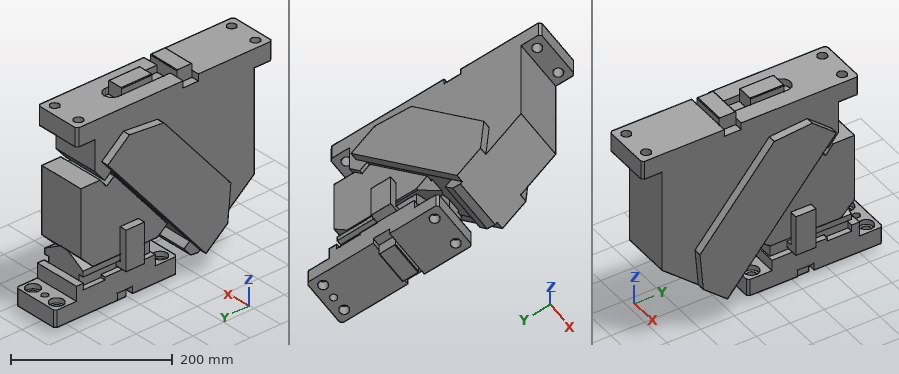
import cadquery as cq
import math


body_width = 74.0
overall_width = 97.0
plate_corner_chamfer = 3.2
hole_diameter = 13.5
hole_spacing = 45.0
hole_inset = 15.3

key_width = 25.0
key_length = 50.0
key_stand_out = 10.0
key_depth = 10.5
key_chamfer = 1.0

driver_length = 200.0
driver_plate_height = 25.3
counterbore_diameter = 20.5
counterbore_depth = 7.5
dowel_hole_diameter = 10.0
driver_key_y = -14.2
step_back_y = 65.0
step_front_y = -64.0
step_height = 41.5
stop_height = 47.0
recess_height = 37.5
recess_front_y = 18.0
neck_width = 57.5
neck_back_y = 53.8
neck_front_y = -62.0
flange_width = 72.5
flange_bottom = 55.5
flange_front_y = -30.3
roof_edge_height = 64.0
roof_angle = 30.0
roof_ridge_height = roof_edge_height + flange_width / 2 * math.tan(math.radians(roof_angle))

incline = 50.0
incline_cos = math.cos(math.radians(incline))
incline_sin = math.sin(math.radians(incline))
guide_y = 24.0
guide_z = 211.0
contact_v = -0.5

slide_back_y = 58.0
slide_top = 185.5
slide_bottom = 65.0
slide_chamfer = 20.0
slide_start_u = 35.2
slide_end_u = 170.5
notch_v = -18.5
slide_pad_width = 57.0
slide_pad_height = 2.0

hook_back_y = -6.5
hook_length = 30.0
hook_top = 105.0
hook_bottom = 45.0
hook_toe_height = 9.5

holder_top = 275.2
holder_plate_length = 320.5
holder_plate_back_y = 64.5
holder_plate_thickness = 27.8
holder_back_y = 34.5
holder_front_y = -226.5
holder_end_u = 250.5
upper_lip_v = -15.0
upper_lip_end_u = 25.5
lower_lip_v = -12.5
lower_lip_start_u = 224.5
lower_lip_chamfer = 8.5
side_plate_height = 86.5
side_plate_chamfer = 40.0
cross_key_y = -122.0
long_key_back_y = -30.3
slot_back_y = -12.8


def box(width, y_front, y_back, z_low, z_high):
    """Box centred on X, between two Y and two Z positions."""
    return (
        cq.Workplane("XY")
        .box(width, y_back - y_front, z_high - z_low, centered=(True, False, False))
        .translate((0, y_front, z_low))
    )


def side_profile(points, width):
    """Closed outline of (Y, Z) points extruded evenly about X = 0."""
    return cq.Workplane("YZ").polyline(points).close().extrude(width / 2, both=True)


def guide_point(u, v):
    """(Y, Z) of a point given along and out of the incline."""
    y = guide_y - u * incline_cos - v * incline_sin
    z = guide_z - u * incline_sin + v * incline_cos
    return (y, z)


def guide_point_at_y(v, y):
    """Point at a given Y on the line parallel to the incline at v."""
    u = (guide_y - y - v * incline_sin) / incline_cos
    return guide_point(u, v)


def guide_point_at_z(v, z):
    """Point at a given Z on the line parallel to the incline at v."""
    u = (guide_z - z + v * incline_cos) / incline_sin
    return guide_point(u, v)


def end_point_at_y(u, y):
    """Point at a given Y on the line square to the incline at u."""
    v = (guide_y - y - u * incline_cos) / incline_sin
    return guide_point(u, v)


def end_point_at_z(u, z):
    """Point at a given Z on the line square to the incline at u."""
    v = (z - guide_z + u * incline_sin) / incline_cos
    return guide_point(u, v)


def mounting_plate(y_front, length, z_low, z_high):
    plate = box(body_width, y_front, y_front + length, z_low, z_high)
    return plate.edges("|Z").chamfer(plate_corner_chamfer)


def hole_centres(y_front, length):
    half_spacing = hole_spacing / 2
    return [
        (x, y)
        for x in (-half_spacing, half_spacing)
        for y in (y_front + hole_inset, y_front + length - hole_inset)
    ]


def round_cuts(centres, diameter, z_low, z_high):
    return (
        cq.Workplane("XY", origin=(0, 0, z_low))
        .pushPoints(centres)
        .circle(diameter / 2)
        .extrude(z_high - z_low)
    )


def roof_block(y_front, y_back, z_low):
    """Ridged block as wide as the flange."""
    half_width = flange_width / 2
    return (
        cq.Workplane("XZ", origin=(0, y_back, 0))
        .moveTo(-half_width, z_low)
        .lineTo(half_width, z_low)
        .lineTo(half_width, roof_edge_height)
        .lineTo(0, roof_ridge_height)
        .lineTo(-half_width, roof_edge_height)
        .close()
        .extrude(y_back - y_front)
    )


def make_driver():
    plate_front_y = -driver_length / 2
    driver = mounting_plate(plate_front_y, driver_length, 0, driver_plate_height)

    driver = driver.union(box(body_width, step_front_y, step_back_y, 0, step_height))
    driver = driver.union(box(body_width, neck_back_y, step_back_y, 0, stop_height))
    driver = driver.cut(box(body_width, recess_front_y, neck_back_y, recess_height, step_height))

    neck = box(neck_width, neck_front_y, neck_back_y, recess_height, roof_ridge_height)
    neck = neck.intersect(roof_block(neck_front_y, neck_back_y, recess_height))
    driver = driver.union(neck)
    driver = driver.union(roof_block(flange_front_y, neck_back_y, flange_bottom))

    centres = hole_centres(plate_front_y, driver_length)
    counterbore_floor = driver_plate_height - counterbore_depth
    driver = driver.cut(round_cuts(centres, hole_diameter, 0, driver_plate_height))
    driver = driver.cut(
        round_cuts(centres, counterbore_diameter, counterbore_floor, driver_plate_height)
    )
    dowel_centre = [(0, driver_length / 2 - hole_inset)]
    driver = driver.cut(round_cuts(dowel_centre, dowel_hole_diameter, 0, driver_plate_height))

    key_front_y = driver_key_y - key_width / 2
    key_back_y = driver_key_y + key_width / 2
    driver = driver.cut(box(body_width, key_front_y, key_back_y, 0, key_depth))
    key = box(key_length, key_front_y, key_back_y, -key_stand_out, key_depth)
    key = key.faces("<Z").edges("|X").chamfer(key_chamfer)
    return driver.union(key)


def make_return_hook(side):
    """Hook on one side of the slide, its toe reaching below the driver's flange to the neck."""
    front_y = hook_back_y - hook_length
    inner_x = body_width / 2
    outer_x = overall_width / 2
    toe_x = neck_width / 2
    return (
        cq.Workplane("XZ", origin=(0, hook_back_y, 0))
        .moveTo(side * outer_x, hook_top)
        .lineTo(side * outer_x, hook_bottom)
        .lineTo(side * toe_x, hook_bottom)
        .lineTo(side * toe_x, hook_bottom + hook_toe_height)
        .lineTo(side * inner_x, hook_bottom + hook_toe_height)
        .lineTo(side * inner_x, hook_top)
        .close()
        .extrude(hook_back_y - front_y)
    )


def make_slide():
    top_v = contact_v - slide_pad_height
    outline = [
        (slide_back_y, slide_top),
        guide_point_at_z(notch_v, slide_top),
        guide_point(slide_start_u, notch_v),
        guide_point(slide_start_u, top_v),
        guide_point(slide_end_u, top_v),
        end_point_at_z(slide_end_u, slide_bottom),
        (slide_back_y - slide_chamfer, slide_bottom),
        (slide_back_y, slide_bottom + slide_chamfer),
    ]
    slide = side_profile(outline, body_width)
    pad_outline = [
        guide_point(slide_start_u, top_v),
        guide_point(slide_start_u, contact_v),
        guide_point(slide_end_u, contact_v),
        guide_point(slide_end_u, top_v),
    ]
    slide = slide.union(side_profile(pad_outline, slide_pad_width))

    slide_front_y = guide_point(slide_end_u, contact_v)[0]
    slide = slide.cut(roof_block(slide_front_y, slide_back_y, flange_bottom))
    for side in (-1, 1):
        slide = slide.union(make_return_hook(side))
    return slide


def make_side_plates():
    """Pair of plates, one on each side of the holder, with both upper corners chamfered."""
    outline = [
        guide_point(0, 0),
        guide_point(0, side_plate_height - side_plate_chamfer),
        guide_point(side_plate_chamfer, side_plate_height),
        guide_point(holder_end_u - side_plate_chamfer, side_plate_height),
        guide_point(holder_end_u, side_plate_height - side_plate_chamfer),
        guide_point(holder_end_u, 0),
    ]
    plates = side_profile(outline, overall_width)
    return plates.cut(side_profile(outline, body_width))


def make_holder():
    plate_front_y = holder_plate_back_y - holder_plate_length
    plate_bottom = holder_top - holder_plate_thickness
    holder = mounting_plate(plate_front_y, holder_plate_length, plate_bottom, holder_top)
    outline = [
        (holder_back_y, plate_bottom),
        guide_point_at_y(upper_lip_v, holder_back_y),
        guide_point(upper_lip_end_u, upper_lip_v),
        guide_point(upper_lip_end_u, contact_v),
        guide_point(lower_lip_start_u, contact_v),
        guide_point(lower_lip_start_u, lower_lip_v),
        guide_point(holder_end_u - lower_lip_chamfer, lower_lip_v),
        guide_point(holder_end_u, lower_lip_v + lower_lip_chamfer),
        end_point_at_y(holder_end_u, holder_front_y),
        (holder_front_y, plate_bottom),
    ]
    holder = holder.union(side_profile(outline, body_width)).union(make_side_plates())

    centres = hole_centres(plate_front_y, holder_plate_length)
    holder = holder.cut(round_cuts(centres, hole_diameter, plate_bottom, holder_top))

    groove_floor = holder_top - key_depth
    key_top = holder_top + key_stand_out
    cross_front_y = cross_key_y - key_width / 2
    cross_back_y = cross_key_y + key_width / 2
    slot_centre_y = slot_back_y - key_width / 2
    holder = holder.cut(box(body_width, cross_front_y, cross_back_y, groove_floor, holder_top))
    holder = holder.cut(box(key_width, cross_back_y, slot_centre_y, groove_floor, holder_top))
    holder = holder.cut(round_cuts([(0, slot_centre_y)], key_width, groove_floor, holder_top))

    cross_key = box(key_length, cross_front_y, cross_back_y, groove_floor, key_top)
    cross_key = cross_key.faces(">Z").edges("|X").chamfer(key_chamfer)
    long_key = box(key_width, long_key_back_y - key_length, long_key_back_y, groove_floor, key_top)
    long_key = long_key.faces(">Z").edges("|Y").chamfer(key_chamfer)
    return holder.union(cross_key).union(long_key)


driver = make_driver()
slide = make_slide()
holder = make_holder()
result = cq.Compound.makeCompound([driver.solids().val(), slide.solids().val(), holder.solids().val()])